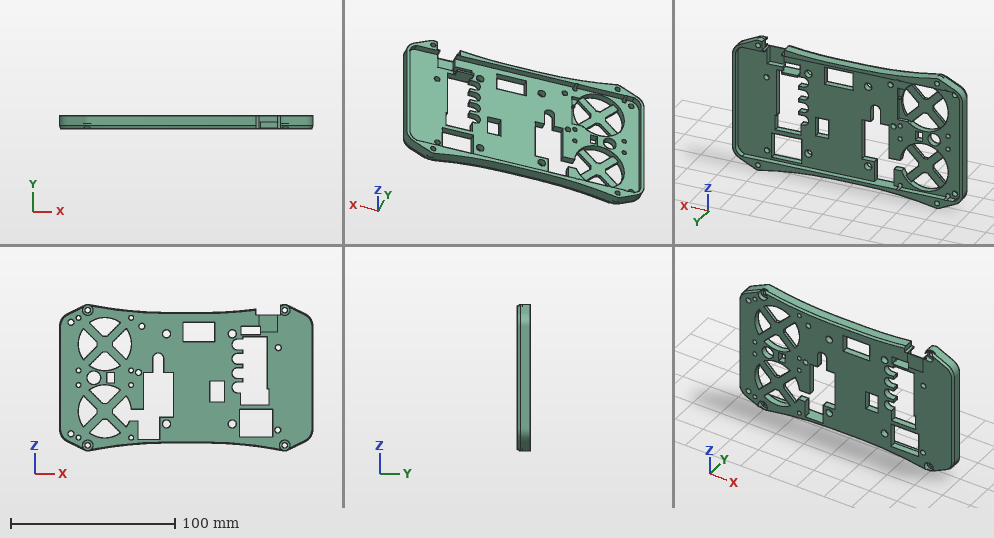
import cadquery as cq
import math

LENGTH = 154.2
DEPTH = 8.0
FLOOR_THICKNESS = 4.2
FRONT_Y = -DEPTH / 2
BACK_Y = DEPTH / 2
FLOOR_BACK_Y = FRONT_Y + FLOOR_THICKNESS

SCREW_X = 59.9
SCREW_Z = 41.1
LOBE_RADIUS = 3.5
END_SLOPE = math.radians(26)
END_CORNER_RADIUS = 8.5
WAIST_HALF_LENGTH = 10.0
WAIST_HALF_HEIGHT = 39.7
CHAMFER_DEPTH = 1.9
CHAMFER_INSET = 0.7

WALL = 2.0
HOLLOW_HEIGHT = 75.0

SCREW_DIAMETER = 3.2
SCREW_HEAD_DIAMETER = 6.4
SCREW_HEAD_DEPTH = 3.2

FAN_X = -49.5
FAN_Z = 20.45
FAN_RADIUS = 16.1
FAN_SCREW_SPACING = 32.0
FAN_SCREW_DIAMETER = 2.8
SPOKE_WIDTH = 5.0
SPOKE_THICKNESS = 2.0
HUB_SIZE = 9.6
FAN_RELIEF_RIGHT = -31.6
FAN_RELIEF_BOTTOM, FAN_RELIEF_TOP = 8.5, 30.0
FAN_RELIEF_BAR_BOTTOM, FAN_RELIEF_BAR_TOP = 22.6, 23.5

CABLE_LEFT, CABLE_RIGHT = -25.9, -7.9
CABLE_BOTTOM, CABLE_TOP = -23.9, 3.1
CABLE_FOOT_LEFT, CABLE_FOOT_RIGHT = -29.3, -16.25
CABLE_SLOT_X, CABLE_SLOT_WIDTH, CABLE_SLOT_TOP = -17.05, 6.5, 15.0
FAN_LINK_BOTTOM, FAN_LINK_TOP = -26.2, -19.3

TERMINAL_LEFT, TERMINAL_RIGHT = 34.5, 49.2
TERMINAL_BOTTOM, TERMINAL_TOP = -16.5, 24.9
TERMINAL_FOOT_LEFT, TERMINAL_FOOT_RIGHT = 33.0, 50.2
TERMINAL_FOOT_LEFT_TOP, TERMINAL_FOOT_RIGHT_TOP = -9.1, -6.7
WIRE_SLOT_COUNT = 4
WIRE_SLOT_WIDTH = 6.5
WIRE_SLOT_PITCH = 8.7
WIRE_SLOT_FIRST_Z = 20.2
WIRE_SLOT_END_X = 27.9

WINDOW_LEFT, WINDOW_RIGHT = 33.4, 45.1
WINDOW_BOTTOM, WINDOW_TOP = 26.2, 31.3
NOTCH_LEFT, NOTCH_RIGHT, NOTCH_BOTTOM = 42.3, 57.2, 38.3
SOCKET_LEFT, SOCKET_RIGHT, SOCKET_BOTTOM = 44.3, 55.5, 27.7
SOCKET_SKIN = 0.5

RECTANGULAR_WINDOWS = [
    (-48.3, -43.7, -3.05, 3.05),
    (-1.9, 17.2, 22.0, 33.7),
    (14.4, 23.2, -14.7, -2.1),
    (32.5, 52.5, -35.9, -19.3),
    (WINDOW_LEFT, WINDOW_RIGHT, WINDOW_BOTTOM, WINDOW_TOP),
]

STANDOFF_DIAMETER = 4.8
PILOT_DIAMETER = 3.5
ROUND_HOLES = [
    (-12.0, 26.7, STANDOFF_DIAMETER),
    (-12.0, -28.1, STANDOFF_DIAMETER),
    (28.0, 26.7, STANDOFF_DIAMETER),
    (28.0, -28.1, STANDOFF_DIAMETER),
    (-70.1, 33.7, PILOT_DIAMETER),
    (-70.1, -34.1, PILOT_DIAMETER),
    (-27.0, 31.3, PILOT_DIAMETER),
    (-29.0, 3.2, PILOT_DIAMETER),
    (56.0, 18.3, PILOT_DIAMETER),
    (55.7, -31.8, PILOT_DIAMETER),
    (-56.2, 0.0, 8.2),
]


def plane_at(y):
    """Sketch plane facing -Y, with local x = X and local y = Z."""
    return cq.Workplane("XZ", origin=(0, y, 0))


def box(left, right, bottom, top, front=FRONT_Y, back=BACK_Y):
    sketch = plane_at(back).center((left + right) / 2, (bottom + top) / 2)
    return sketch.rect(right - left, top - bottom).extrude(back - front)


def rod(x, z, diameter, front=FRONT_Y, back=BACK_Y):
    return plane_at(back).center(x, z).circle(diameter / 2).extrude(back - front)


def quarter_outline():
    """Points of the upper right quarter, from the waist to the end, as (x, z)."""
    run = SCREW_X - WAIST_HALF_LENGTH
    drop = SCREW_Z - WAIST_HALF_HEIGHT
    side_radius = (run**2 + drop**2 - LOBE_RADIUS**2) / (2 * (LOBE_RADIUS + drop))
    side_angle = math.asin(run / (side_radius + LOBE_RADIUS))

    def on_side(angle):
        return (
            WAIST_HALF_LENGTH + side_radius * math.sin(angle),
            WAIST_HALF_HEIGHT + side_radius * (1 - math.cos(angle)),
        )

    def on_lobe(angle):
        return (SCREW_X + LOBE_RADIUS * math.sin(angle), SCREW_Z + LOBE_RADIUS * math.cos(angle))

    corner_x = LENGTH / 2 - END_CORNER_RADIUS
    lobe_end_x, lobe_end_z = on_lobe(END_SLOPE)
    corner_end_x = corner_x + END_CORNER_RADIUS * math.sin(END_SLOPE)
    corner_end_z = lobe_end_z - (corner_end_x - lobe_end_x) * math.tan(END_SLOPE)
    corner_z = corner_end_z - END_CORNER_RADIUS * math.cos(END_SLOPE)

    def on_corner(angle):
        return (
            corner_x + END_CORNER_RADIUS * math.sin(angle),
            corner_z + END_CORNER_RADIUS * math.cos(angle),
        )

    end_angle = math.pi / 2
    return [
        on_side(0),
        on_side(side_angle / 2),
        on_side(side_angle),
        on_lobe((END_SLOPE - side_angle) / 2),
        on_lobe(END_SLOPE),
        on_corner(END_SLOPE),
        on_corner((END_SLOPE + end_angle) / 2),
        on_corner(end_angle),
    ]


def outline(plane):
    """Closed outline made of the quarter mirrored about both axes."""
    quarter = quarter_outline()
    top_left = [(-x, z) for x, z in quarter]
    bottom_left = [(-x, -z) for x, z in quarter]
    bottom_right = [(x, -z) for x, z in quarter]

    wire = plane.moveTo(*top_left[0])
    for points, outward in (
        (quarter, True),
        (bottom_right, False),
        (bottom_left, True),
        (top_left, False),
    ):
        path = points if outward else points[::-1]
        wire = wire.lineTo(*path[0])
        if outward:
            wire = wire.threePointArc(path[1], path[2]).threePointArc(path[3], path[4])
            wire = wire.lineTo(*path[5]).threePointArc(path[6], path[7])
        else:
            wire = wire.threePointArc(path[1], path[2]).lineTo(*path[3])
            wire = wire.threePointArc(path[4], path[5]).threePointArc(path[6], path[7])
    return wire.close()


def shell():
    """Chamfered plate with its back hollowed out."""
    chamfer_y = FRONT_Y + CHAMFER_DEPTH
    taper = math.degrees(math.atan(CHAMFER_INSET / CHAMFER_DEPTH))
    body = outline(plane_at(BACK_Y)).extrude(BACK_Y - chamfer_y)
    body = body.union(outline(plane_at(chamfer_y)).extrude(CHAMFER_DEPTH, taper=taper))

    hollow = outline(plane_at(BACK_Y)).offset2D(-WALL).extrude(BACK_Y - FLOOR_BACK_Y)
    half_height = HOLLOW_HEIGHT / 2
    hollow = hollow.intersect(box(-LENGTH / 2, LENGTH / 2, -half_height, half_height))
    return body.cut(hollow)


def corner_screw(x, z):
    head = rod(x, z, SCREW_HEAD_DIAMETER, back=FRONT_Y + SCREW_HEAD_DEPTH)
    return rod(x, z, SCREW_DIAMETER).union(head)


def fan_screws(z):
    half = FAN_SCREW_SPACING / 2
    holes = rod(FAN_X - half, z - half, FAN_SCREW_DIAMETER)
    for dx, dz in ((-half, half), (half, -half), (half, half)):
        holes = holes.union(rod(FAN_X + dx, z + dz, FAN_SCREW_DIAMETER))
    return holes


def fan_spokes(z):
    """Diagonal cross with a square hub, thinner than the floor and flush with the front."""
    cross_plane = plane_at(FRONT_Y + SPOKE_THICKNESS).center(FAN_X, z)
    cross = cross_plane.rect(HUB_SIZE, HUB_SIZE).extrude(SPOKE_THICKNESS)
    for angle in (45, -45):
        bar = cq.Workplane("XY").box(2 * FAN_RADIUS, SPOKE_THICKNESS, SPOKE_WIDTH)
        bar = bar.rotate((0, 0, 0), (0, 1, 0), angle)
        cross = cross.union(bar.translate((FAN_X, FRONT_Y + SPOKE_THICKNESS / 2, z)))
    return cross.intersect(rod(FAN_X, z, 2 * FAN_RADIUS))


def fan_opening(z):
    return rod(FAN_X, z, 2 * FAN_RADIUS).cut(fan_spokes(z))


def fan_relief():
    """Pocket behind the right rim of the upper fan opening, split by a thin bar."""
    front = FRONT_Y + SPOKE_THICKNESS
    left = FAN_X + FAN_RADIUS / 2
    pocket = box(left, FAN_RELIEF_RIGHT, FAN_RELIEF_BOTTOM, FAN_RELIEF_TOP, front=front)
    return pocket.cut(box(left, FAN_RELIEF_RIGHT, FAN_RELIEF_BAR_BOTTOM, FAN_RELIEF_BAR_TOP))


def cable_cutout():
    slot_radius = CABLE_SLOT_WIDTH / 2
    slot_center_z = CABLE_SLOT_TOP - slot_radius
    slot_left = CABLE_SLOT_X - slot_radius
    slot_right = CABLE_SLOT_X + slot_radius
    cutout = box(CABLE_LEFT, CABLE_RIGHT, CABLE_BOTTOM, CABLE_TOP)
    cutout = cutout.union(box(slot_left, slot_right, CABLE_BOTTOM, slot_center_z))
    cutout = cutout.union(rod(CABLE_SLOT_X, slot_center_z, CABLE_SLOT_WIDTH))
    foot = box(CABLE_FOOT_LEFT, CABLE_FOOT_RIGHT, -HOLLOW_HEIGHT / 2, FAN_LINK_BOTTOM)
    link = box(FAN_X, CABLE_FOOT_RIGHT, FAN_LINK_BOTTOM, FAN_LINK_TOP)
    link = link.cut(rod(FAN_X, -FAN_Z, 2 * FAN_RADIUS))
    return cutout.union(foot).union(link)


def terminal_cutout():
    cutout = box(TERMINAL_LEFT, TERMINAL_RIGHT, TERMINAL_BOTTOM, TERMINAL_TOP)
    middle = (TERMINAL_LEFT + TERMINAL_RIGHT) / 2
    cutout = cutout.union(box(TERMINAL_FOOT_LEFT, middle, TERMINAL_BOTTOM, TERMINAL_FOOT_LEFT_TOP))
    cutout = cutout.union(box(middle, TERMINAL_FOOT_RIGHT, TERMINAL_BOTTOM, TERMINAL_FOOT_RIGHT_TOP))
    radius = WIRE_SLOT_WIDTH / 2
    round_x = WIRE_SLOT_END_X + radius
    for index in range(WIRE_SLOT_COUNT):
        z = WIRE_SLOT_FIRST_Z - index * WIRE_SLOT_PITCH
        cutout = cutout.union(box(round_x, middle, z - radius, z + radius))
        cutout = cutout.union(rod(round_x, z, WIRE_SLOT_WIDTH))
    return cutout


def window_rib():
    """Full-depth rib between the connector window and the terminal cut-out."""
    return box(WINDOW_LEFT, SOCKET_LEFT, TERMINAL_TOP, WINDOW_BOTTOM)


def edge_notch():
    """Gap in the upper edge, with a socket sunk behind a thin front skin."""
    top = SCREW_Z + LOBE_RADIUS
    notch = box(NOTCH_LEFT, NOTCH_RIGHT, NOTCH_BOTTOM, top)
    socket = box(SOCKET_LEFT, SOCKET_RIGHT, SOCKET_BOTTOM, top, front=FRONT_Y + SOCKET_SKIN)
    return notch.union(socket)


result = shell().union(window_rib())

for screw_x in (-SCREW_X, SCREW_X):
    for screw_z in (-SCREW_Z, SCREW_Z):
        result = result.cut(corner_screw(screw_x, screw_z))

for fan_z in (-FAN_Z, FAN_Z):
    result = result.cut(fan_opening(fan_z)).cut(fan_screws(fan_z))
result = result.cut(fan_relief())

for window in RECTANGULAR_WINDOWS:
    result = result.cut(box(*window))

for hole_x, hole_z, hole_diameter in ROUND_HOLES:
    result = result.cut(rod(hole_x, hole_z, hole_diameter))

result = result.cut(cable_cutout()).cut(terminal_cutout()).cut(edge_notch())